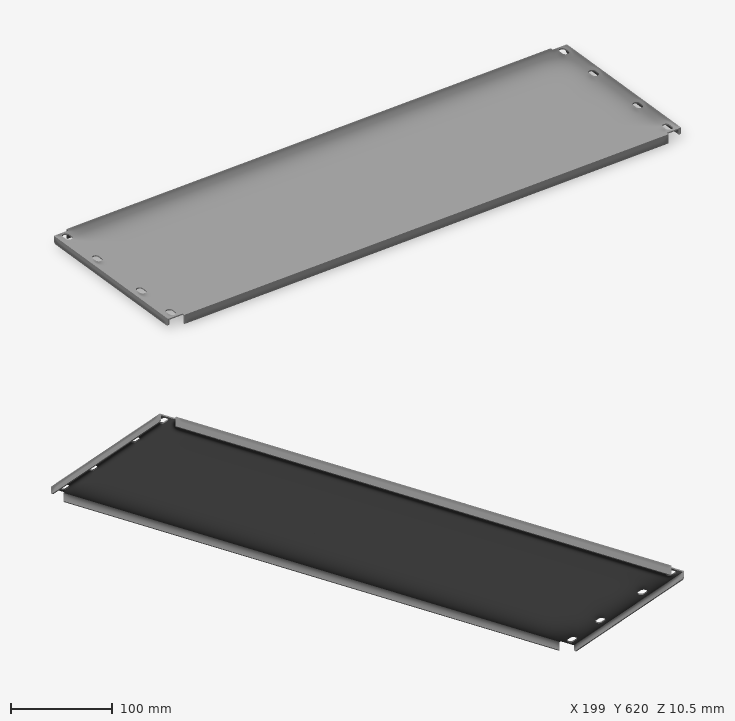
import cadquery as cq

width = 199.0
length = 620.0
height = 10.5

sheet = 1.5
notch_length = 17.5
tab_width = 193.0
end_flange_height = 8.5
flange_corner = 2.0

slot_length = 12.5
slot_width = 7.5
slot_inset = 10.0
inner_slot_x = 37.0
outer_slot_x = 87.5

side_length = length - 2 * notch_length


def hanging_box(size_x, size_y, depth):
    """Centred box whose top face lies at Z = 0."""
    return cq.Workplane("XY").rect(size_x, size_y).extrude(-depth)


def end_flange(side):
    """Flange folded down at one end, with clipped lower corners."""
    return (
        hanging_box(tab_width, sheet, end_flange_height)
        .faces("<Z")
        .edges("|Y")
        .chamfer(flange_corner)
        .translate((0, side * (length - sheet) / 2, 0))
    )


def side_flange(side):
    """Flange folded down along one long side."""
    return hanging_box(sheet, side_length, height).translate((side * (width - sheet) / 2, 0, 0))


part = hanging_box(width, side_length, sheet).union(hanging_box(tab_width, length, sheet))

for side in (-1, 1):
    part = part.union(side_flange(side)).union(end_flange(side))

slot_points = [
    (x, y)
    for x in (-outer_slot_x, -inner_slot_x, inner_slot_x, outer_slot_x)
    for y in (-length / 2 + slot_inset, length / 2 - slot_inset)
]
slots = (
    cq.Workplane("XY")
    .pushPoints(slot_points)
    .slot2D(slot_length, slot_width)
    .extrude(-sheet)
)

result = part.cut(slots)